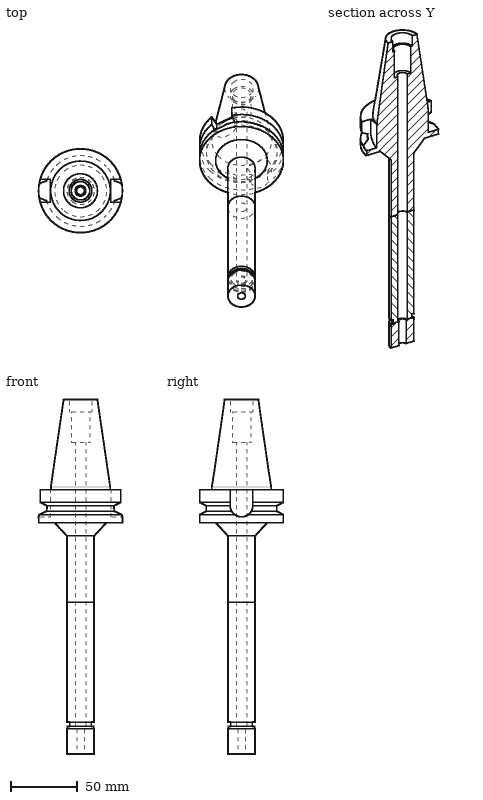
import cadquery as cq

total_height = 265.5
nut_height = 20.7
neck_height = 3.2
extension_top = 113.5
flange_bottom = 173.0
flange_top = 198.0
taper_base = 200.0

taper_top_radius = 12.7
taper_base_radius = 22.3
flange_diameter = 63.0
flange_radius = flange_diameter / 2
groove_radius = 26.5
groove_lower_edge = 179.1
groove_upper_edge = 188.5
groove_flank_height = 2.7

shank_diameter = 20.5
shank_radius = shank_diameter / 2
shank_cone_radius = 19.5
shank_cone_bottom = 163.2
neck_radius = 8.2

slot_width = 17.0
slot_floor = 22.5
slot_bottom = 177.5

mouth_radius = 8.5
mouth_depth = 9.0
thread_radius = 7.0
thread_depth = 31.8
through_radius = 4.0
nut_bore_radius = 3.0

nut_band_height = 1.5
nut_band_relief = 0.13


def cylinder(radius, bottom, top):
    """Solid cylinder on the Z axis between two heights."""
    return cq.Workplane("XY").workplane(offset=bottom).circle(radius).extrude(top - bottom)


def drive_slot(side):
    """Cutter for one round-bottomed drive slot; side is +1 or -1 along X."""
    slot_radius = slot_width / 2
    arc_centre = slot_bottom + slot_radius
    return (
        cq.Workplane("YZ", origin=(side * slot_floor, 0, 0))
        .moveTo(-slot_radius, flange_top)
        .lineTo(-slot_radius, arc_centre)
        .threePointArc((0, slot_bottom), (slot_radius, arc_centre))
        .lineTo(slot_radius, flange_top)
        .close()
        .extrude(side * flange_radius)
    )


def make_holder():
    """Taper, grooved flange and upper shank, with a stepped bore and two drive slots."""
    body = (
        cq.Workplane("XZ")
        .polyline([
            (0, extension_top),
            (shank_radius, extension_top),
            (shank_radius, shank_cone_bottom),
            (shank_cone_radius, flange_bottom),
            (flange_radius, flange_bottom),
            (flange_radius, groove_lower_edge),
            (groove_radius, groove_lower_edge + groove_flank_height),
            (groove_radius, groove_upper_edge - groove_flank_height),
            (flange_radius, groove_upper_edge),
            (flange_radius, flange_top),
            (taper_base_radius, flange_top),
            (taper_base_radius, taper_base),
            (taper_top_radius, total_height),
            (0, total_height),
        ])
        .close()
        .revolve(360, (0, 0), (0, 1))
    )
    for side in (-1, 1):
        body = body.cut(drive_slot(side))
    body = body.cut(cylinder(mouth_radius, total_height - mouth_depth, total_height))
    body = body.cut(cylinder(thread_radius, total_height - thread_depth, total_height))
    return body.cut(cylinder(through_radius, extension_top, total_height))


def make_extension():
    """Lower shank that ends in a narrower neck resting on the nut."""
    neck_top = nut_height + neck_height
    body = cylinder(shank_radius, neck_top, extension_top)
    body = body.union(cylinder(neck_radius, nut_height, neck_top))
    return body.cut(cylinder(through_radius, nut_height, extension_top))


def make_nut():
    """Clamping nut with a slightly relieved band at its top and a plain bore."""
    band_bottom = nut_height - nut_band_height
    body = cylinder(shank_radius, 0, band_bottom)
    body = body.union(cylinder(shank_radius - nut_band_relief, band_bottom, nut_height))
    return body.cut(cylinder(nut_bore_radius, 0, nut_height))


holder = make_holder()
extension = make_extension()
nut = make_nut()

result = cq.Compound.makeCompound([holder.val(), extension.val(), nut.val()])